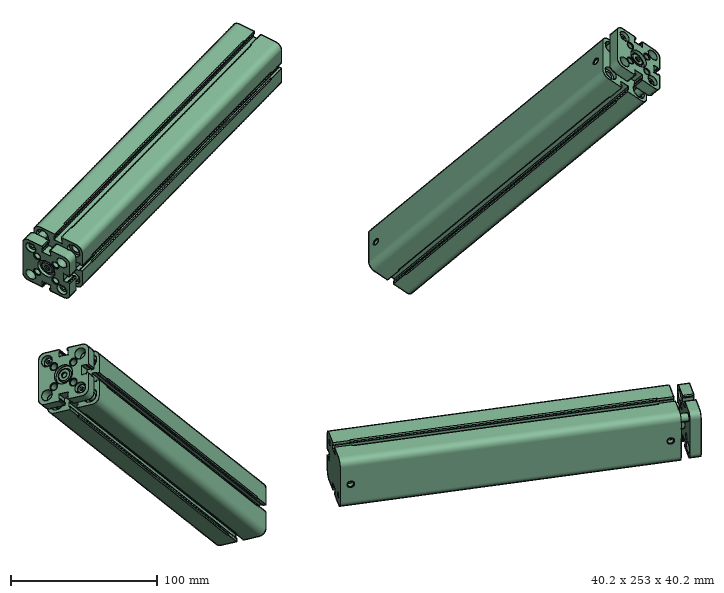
import cadquery as cq

LENGTH = 253.0

BODY_SIDE = 40.2
BODY_CORNER_RADIUS = 5.3
CAP_LENGTH = 12.1

PLATE_SIDE = 39.0
PLATE_CORNER_RADIUS = 4.8
PLATE_THICKNESS = 7.8
PLATE_GAP = 6.3
BODY_START = PLATE_THICKNESS + PLATE_GAP
TUBE_START = BODY_START + CAP_LENGTH
TUBE_END = LENGTH - CAP_LENGTH

SLOT_ANGLES = (0, 90, 180)
BODY_SLOT_FLOOR = 14.5
PLATE_SLOT_FLOOR = 14.2
SLOT_LIP_BOTTOM = 17.7
SLOT_INNER_WIDTH = 6.8
SLOT_OPENING = 5.3
SLOT_CHAMFER = 0.8

CORNER_OFFSET = 13.0
ROD_CORNERS = ((-CORNER_OFFSET, CORNER_OFFSET), (CORNER_OFFSET, -CORNER_OFFSET))
BOLT_CORNERS = ((CORNER_OFFSET, CORNER_OFFSET), (-CORNER_OFFSET, -CORNER_OFFSET))
PLATE_HOLE_DIAMETER = 8.0
GUIDE_ROD_DIAMETER = 6.0
ROD_BORE_DEPTH = 4.0
ROD_HEAD_HEIGHT = 2.0
ROD_SOCKET_DIAMETER = 2.5
ROD_SOCKET_DEPTH = 2.5
CAP_RECESS_DIAMETER = 10.0
CAP_RECESS_DEPTH = 2.5
BOLT_BORE_DIAMETER = 6.0
BOLT_BORE_DEPTH = 6.5
BOLT_HOLE_DIAMETER = 4.0

PIN_HOLE_OFFSET = 7.5
PIN_HOLE_DIAMETER = 4.8
PIN_HOLE_CHAMFER = 0.5

PISTON_DIAMETER = 10.0
PISTON_CHAMFER_LENGTH = 1.3
PISTON_CHAMFER_DEPTH = 0.5
ACROSS_FLATS = 8.5
FLAT_LENGTH = 3.3
FLAT_RUNOUT = 1.0
CENTRE_BORE_DIAMETER = 14.2
CENTRE_BORE_DEPTH = 2.5
SCREW_HEAD_DIAMETER = 10.0
SCREW_HEAD_HEIGHT = 1.5
SCREW_HEAD_CHAMFER = 0.8
SCREW_SOCKET_DIAMETER = 4.0
SCREW_SOCKET_DEPTH = 1.3

PORT_INSET = 7.3
PORT_DIAMETER = 4.3
PORT_DEPTH = 4.0
PORT_CHAMFER = 0.5
PORT_PASSAGE_DIAMETER = 2.0
PORT_PASSAGE_DEPTH = 6.0


def plane_at(y):
    """Plane across the cylinder at y, drawn in X and Z, with its normal toward -Y."""
    return cq.Workplane(cq.Plane(origin=(0, y, 0), xDir=(1, 0, 0), normal=(0, -1, 0)))


def block(side, corner_radius, start, end):
    """Square bar along Y with rounded corners."""
    return plane_at(start).rect(side, side).extrude(start - end).edges("|Y").fillet(corner_radius)


def cylinders(points, diameter, start, end):
    """Round bars along Y, one at each (x, z) point."""
    return plane_at(start).pushPoints(points).circle(diameter / 2).extrude(start - end)


def t_slots(outer_face, floor, chamfer, start, end):
    """Cutters for the T-slots between two positions along Y, chamfered at outer_face if asked."""
    half_opening = SLOT_OPENING / 2
    half_inner = SLOT_INNER_WIDTH / 2
    half_mouth = half_opening + chamfer
    right_side = [(half_inner, floor), (half_inner, SLOT_LIP_BOTTOM), (half_opening, SLOT_LIP_BOTTOM)]
    if chamfer > 0:
        right_side += [(half_opening, outer_face - chamfer), (half_mouth, outer_face)]
    right_side.append((half_mouth, BODY_SIDE))
    left_side = [(-x, z) for x, z in reversed(right_side)]
    slot = plane_at(start).polyline(right_side + left_side).close().extrude(start - end)
    slots = cq.Workplane("XY")
    for angle in SLOT_ANGLES:
        slots = slots.union(slot.rotate((0, 0, 0), (0, 1, 0), angle))
    return slots


def air_port(y):
    """Cutter for a chamfered port in the -X side with a narrow passage behind it."""
    side = cq.Workplane(cq.Plane(origin=(-BODY_SIDE / 2, y, 0), xDir=(0, 1, 0), normal=(1, 0, 0)))
    bore = side.circle(PORT_DIAMETER / 2).extrude(PORT_DEPTH)
    mouth = side.circle(PORT_DIAMETER / 2 + PORT_CHAMFER).extrude(PORT_CHAMFER, taper=45)
    passage = side.circle(PORT_PASSAGE_DIAMETER / 2).extrude(PORT_PASSAGE_DEPTH)
    return bore.union(mouth).union(passage)


def make_body():
    body = block(BODY_SIDE, BODY_CORNER_RADIUS, BODY_START, LENGTH)
    face = BODY_SIDE / 2
    body = body.cut(t_slots(face, BODY_SLOT_FLOOR, 0, BODY_START, LENGTH))
    body = body.cut(t_slots(face, BODY_SLOT_FLOOR, SLOT_CHAMFER, TUBE_START, TUBE_END))
    recess_end = BODY_START + CAP_RECESS_DEPTH
    body = body.cut(cylinders(ROD_CORNERS + BOLT_CORNERS, CAP_RECESS_DIAMETER, BODY_START, recess_end))
    body = body.cut(cylinders(BOLT_CORNERS, BOLT_BORE_DIAMETER, BODY_START, BODY_START + BOLT_BORE_DEPTH))
    body = body.cut(cylinders(BOLT_CORNERS, BOLT_HOLE_DIAMETER, BODY_START, LENGTH))
    for port_y in (BODY_START + PORT_INSET, LENGTH - PORT_INSET):
        body = body.cut(air_port(port_y))
    return body


def make_plate():
    plate = block(PLATE_SIDE, PLATE_CORNER_RADIUS, 0, PLATE_THICKNESS)
    plate = plate.cut(t_slots(PLATE_SIDE / 2, PLATE_SLOT_FLOOR, SLOT_CHAMFER, 0, PLATE_THICKNESS))
    pin_points = [(x * PIN_HOLE_OFFSET, z * PIN_HOLE_OFFSET) for x in (-1, 1) for z in (-1, 1)]
    plate = plate.cut(cylinders(pin_points, PIN_HOLE_DIAMETER, 0, PLATE_THICKNESS))
    mouth_radius = PIN_HOLE_DIAMETER / 2 + PIN_HOLE_CHAMFER
    mouths = plane_at(0).workplane(invert=True).pushPoints(pin_points).circle(mouth_radius)
    plate = plate.cut(mouths.extrude(PIN_HOLE_CHAMFER, taper=45))
    plate = plate.cut(cylinders(BOLT_CORNERS, PLATE_HOLE_DIAMETER, 0, PLATE_THICKNESS))
    plate = plate.cut(cylinders(ROD_CORNERS, PLATE_HOLE_DIAMETER, 0, ROD_BORE_DEPTH))
    return plate.cut(cylinders([(0, 0)], CENTRE_BORE_DIAMETER, 0, CENTRE_BORE_DEPTH))


def make_guide_rods():
    """Rods from the plate to the bottom of the cap recesses, with a socket in their front ends."""
    front = ROD_BORE_DEPTH - ROD_HEAD_HEIGHT
    rods = cylinders(ROD_CORNERS, GUIDE_ROD_DIAMETER, front, BODY_START + CAP_RECESS_DEPTH)
    return rods.cut(cylinders(ROD_CORNERS, ROD_SOCKET_DIAMETER, front, front + ROD_SOCKET_DEPTH))


def make_piston_rod():
    """Chamfered rod with two wrench flats that slope out to the full diameter."""
    rod = cylinders([(0, 0)], PISTON_DIAMETER, PLATE_THICKNESS, BODY_START)
    rod = rod.faces("<Y").chamfer(PISTON_CHAMFER_LENGTH, PISTON_CHAMFER_DEPTH)
    flat_x = ACROSS_FLATS / 2
    rod_x = PISTON_DIAMETER / 2
    flats_end = PLATE_THICKNESS + FLAT_LENGTH
    right_side = [
        (flat_x, PLATE_THICKNESS),
        (flat_x, flats_end),
        (rod_x, flats_end + FLAT_RUNOUT),
        (rod_x, BODY_START),
    ]
    left_side = [(-x, y) for x, y in reversed(right_side)]
    envelope = cq.Workplane("XY").polyline(right_side + left_side).close()
    return rod.intersect(envelope.extrude(PISTON_DIAMETER, both=True))


def make_centre_screw():
    front = CENTRE_BORE_DEPTH - SCREW_HEAD_HEIGHT
    head = cylinders([(0, 0)], SCREW_HEAD_DIAMETER, front, CENTRE_BORE_DEPTH)
    head = head.faces("<Y").chamfer(SCREW_HEAD_CHAMFER)
    return head.cut(cylinders([(0, 0)], SCREW_SOCKET_DIAMETER, front, front + SCREW_SOCKET_DEPTH))


result = make_body().union(make_plate()).union(make_guide_rods())
result = result.union(make_piston_rod()).union(make_centre_screw())